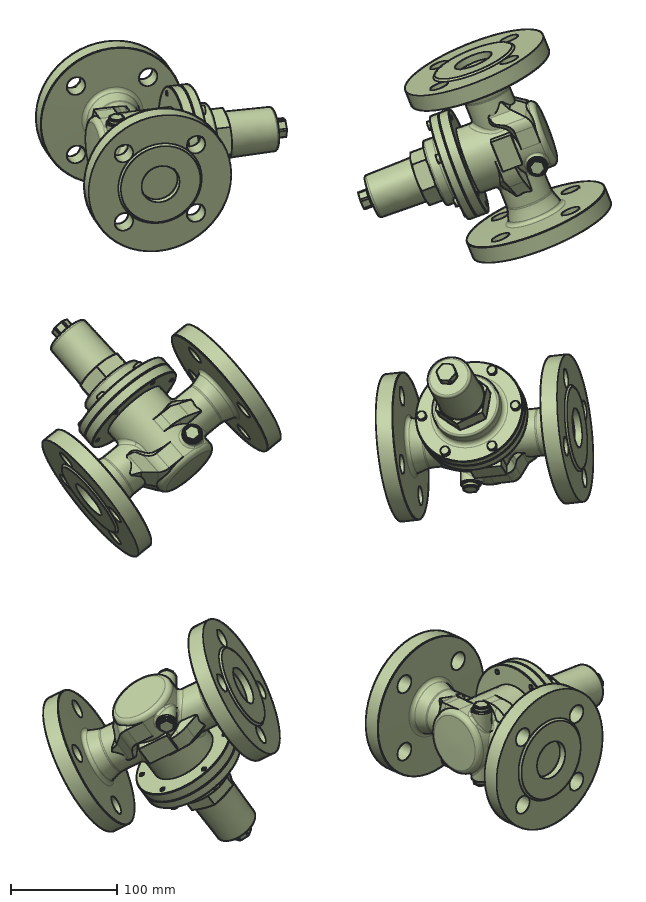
import cadquery as cq
import math


FACE_TO_FACE = 180.0
FLANGE_DIA = 140.0
FLANGE_THICKNESS = 16.0
FLANGE_EDGE = 0.5
FLANGE_BACK_SLOPE = 1.0
RAISED_FACE_HEIGHT = 2.0
RAISED_FACE_DIA = 82.0
RAISED_FACE_CHAMFER = 2.0
BOLT_CIRCLE_DIA = 100.0
BOLT_HOLE_DIA = 18.0
BOLT_HOLE_COUNT = 4
BORE_DIA = 37.2
BORE_DEPTH = 7.0
PIPE_DIA = 45.0
NECK_ROOT_RADIUS = 30.0
NECK_LARGE_RADIUS = 26.0
NECK_LARGE_X = 67.0
NECK_LARGE_SLOPE = 0.45
NECK_SMALL_X = 55.4
NECK_SMALL_RADIUS = 22.7
NECK_SMALL_SLOPE = 0.15
PIPE_X = 54.0

SEAM_ANGLE = 70.0

SELECT_MARGIN = 1.0

BODY_DIA = 65.0
BODY_END_Y = -39.8
BODY_END_DOME = 0.7
BODY_END_ROUND_WIDTH = 5.0
BODY_END_ROUND_HEIGHT = 6.0
BODY_PIPE_FILLET = 4.5

CROWN_CUT = 0.02
HUMP_TOP_Z = BODY_DIA / 2 - CROWN_CUT
INLET_DRAFT = 10.0
INLET_BOTTOM_Y = -33.0
INLET_UPPER_Y = -14.0
INLET_BEND_X = 18.3
INLET_BEND_END = (-30.0, -8.0)
INLET_PIPE_CORNERS = [(-38.0, 3.0), (-45.5, -11.0), (-38.0, -15.5)]
INLET_LOWER_BEND_START = (-28.13, -28.19)
INLET_SKIN_ARC_END = (28.2, 29.4)
INLET_SKIN_SLOPE = [(38.0, 23.0), (50.0, 19.5)]
SHOULDER_CORNERS = [(-34.0, -2.0), (-33.0, -6.0), (-25.0, -15.0), (0.0, -18.0)]
SHOULDER_DRAFT = 35.0
SHOULDER_BASE_Z = 15.0
OUTLET_DRAFT = 28.0
OUTLET_BASE_Z = 14.0
OUTLET_OUTLINE = [(0.0, 13.4), (22.0, 12.4), (41.0, 2.3), (41.0, -1.6), (19.5, -2.3), (0.0, -2.3)]
OUTLET_SKIN_ARC_START_X = 10.0
OUTLET_SKIN_ARC_END = (30.0, 28.1)
OUTLET_SKIN_SLOPE = [(43.0, 22.0)]

BONNET_FLANGE_DIA = 104.0
BODY_FLANGE_Y = 39.5
BONNET_JOINT_Y = 50.0
BONNET_FLANGE_TOP_Y = 59.0
JOINT_CHAMFER = 0.6
SCREW_COUNT = 6
SCREW_CIRCLE_DIA = 91.0
SCREW_DIA = 5.0
SCREW_HEAD_DIA = 8.5
SCREW_HEAD_HEIGHT = 3.7
SCREW_TIP_LENGTH = 0.6

BONNET_TOP_Y = 74.0
BONNET_FILLET = 4.7
BONNET_EDGE_ROUND = 2.0
NUT_ACROSS_FLATS = 46.0
NUT_ANGLE = 40.0
NUT_TOP_Y = 90.0
NUT_BEVEL_HEIGHT = 1.2
NUT_BEVEL_WIDTH = 3.7
HOUSING_BASE_DIA = 44.2
HOUSING_TOP_DIA = 42.4
HOUSING_TOP_Y = 137.5
HOUSING_FILLET = 2.5
SPINDLE_COLLAR_DIA = 15.0
SPINDLE_HEX_Y = 139.7
SPINDLE_TOP_Y = 147.98
SPINDLE_ACROSS_FLATS = 17.0
SPINDLE_HEX_TURN_DIA = 18.6
SPINDLE_HEX_ANGLE = 71.6

PORT_X = 19.0
PORT_Y = -22.2
PORT_DIA = 19.2
PORT_TOP_Z = 36.7
PORT_CHAMFER = 1.2
PORT_FILLET = 2.5
PLUG_COLLAR_DIA = 15.0
PLUG_COLLAR_TOP_Z = 39.7
PLUG_HEX_ACROSS_FLATS = 12.5
PLUG_TOP_Z = 41.3

PAD_X_MIN = -19.0
PAD_X_MAX = 12.0
PAD_WIDTH = 20.0
PAD_BOTTOM_Z = -36.0


def disc_y(dia, y_low, y_high):
    """Cylinder on the spindle axis."""
    return cq.Workplane("XZ", origin=(0, y_low, 0)).circle(dia / 2).extrude(y_low - y_high)


def hexagon(across_flats, angle):
    """Corner points of a hexagon with one corner at the given angle."""
    radius = across_flats / math.sqrt(3)
    angles = [math.radians(angle + 60 * i) for i in range(6)]
    return [(radius * math.cos(a), radius * math.sin(a)) for a in angles]


def hex_y(across_flats, angle, y_low, y_high):
    """Hexagonal prism on the spindle axis."""
    plane = cq.Workplane("XZ", origin=(0, y_low, 0))
    return plane.polyline(hexagon(across_flats, angle)).close().extrude(y_low - y_high)


def make_flow_end():
    """Left-hand flange, neck and pipe as one turned solid, with the bolt holes."""
    face_x = -FACE_TO_FACE / 2
    front_x = face_x + RAISED_FACE_HEIGHT
    back_x = front_x + FLANGE_THICKNESS
    flange_r = FLANGE_DIA / 2
    raised_r = RAISED_FACE_DIA / 2
    back_taper = (flange_r - NECK_ROOT_RADIUS) * math.tan(math.radians(FLANGE_BACK_SLOPE))
    neck_x = back_x + FLANGE_EDGE + back_taper
    neck_tangents = [(1, -NECK_LARGE_SLOPE), (1, -NECK_SMALL_SLOPE)]
    profile = (
        cq.Workplane("XY")
        .moveTo(face_x, 0)
        .lineTo(face_x, raised_r - RAISED_FACE_CHAMFER)
        .lineTo(front_x, raised_r)
        .lineTo(front_x, flange_r)
        .lineTo(back_x, flange_r)
        .lineTo(back_x + FLANGE_EDGE, flange_r - FLANGE_EDGE)
        .lineTo(neck_x, NECK_ROOT_RADIUS)
        .tangentArcPoint((-NECK_LARGE_X, NECK_LARGE_RADIUS), relative=False)
        .spline([(-NECK_SMALL_X, NECK_SMALL_RADIUS)], tangents=neck_tangents, includeCurrent=True)
        .lineTo(-PIPE_X, PIPE_DIA / 2)
        .lineTo(0, PIPE_DIA / 2)
        .lineTo(0, 0)
        .close()
    )
    end = profile.revolve(360, (0, 0, 0), (1, 0, 0)).rotate((0, 0, 0), (1, 0, 0), SEAM_ANGLE)
    holes = (
        cq.Workplane("YZ", origin=(face_x, 0, 0))
        .polarArray(BOLT_CIRCLE_DIA / 2, 180 / BOLT_HOLE_COUNT, 360, BOLT_HOLE_COUNT)
        .circle(BOLT_HOLE_DIA / 2)
        .extrude(back_x + 2 * FLANGE_EDGE - face_x)
    )
    return end.cut(holes)


def make_body_barrel():
    """Body cylinder with a rounded, slightly domed lower end."""
    body_r = BODY_DIA / 2
    rim_y = BODY_END_Y + BODY_END_DOME
    flat_r = body_r - BODY_END_ROUND_WIDTH
    profile = (
        cq.Workplane("XY")
        .moveTo(0, BODY_FLANGE_Y)
        .lineTo(body_r, BODY_FLANGE_Y)
        .lineTo(body_r, rim_y + BODY_END_ROUND_HEIGHT)
        .tangentArcPoint((flat_r, rim_y), relative=False)
        .lineTo(0, BODY_END_Y)
        .close()
    )
    return profile.revolve(360, (0, 0, 0), (0, 1, 0)).rotate((0, 0, 0), (0, 1, 0), SEAM_ANGLE)


def hump_skin(sign, arc_start_x, arc_end, slope_ends):
    """Region between the upper and lower skins of a hump, bounded in the XZ plane."""
    skin = (
        cq.Workplane("XZ", origin=(0, BODY_DIA, 0))
        .moveTo(0, HUMP_TOP_Z)
        .lineTo(sign * arc_start_x, HUMP_TOP_Z)
        .tangentArcPoint((sign * arc_end[0], arc_end[1]), relative=False)
    )
    for x, z in slope_ends:
        skin = skin.lineTo(sign * x, z)
    return skin.lineTo(sign * slope_ends[-1][0], 0).lineTo(0, 0).close().extrude(2 * BODY_DIA)


def inlet_bend():
    """Start of an inlet outline: its straight upper edge and the bend toward the pipe."""
    return (
        cq.Workplane("XY", origin=(0, 0, HUMP_TOP_Z))
        .moveTo(0, INLET_UPPER_Y)
        .lineTo(-INLET_BEND_X, INLET_UPPER_Y)
        .tangentArcPoint(INLET_BEND_END, relative=False)
    )


def make_inlet_hump():
    """S-shaped passage from the left pipe down to the closed body end, with a sloped upper shoulder."""
    channel = inlet_bend()
    for corner in INLET_PIPE_CORNERS:
        channel = channel.lineTo(*corner)
    channel = (
        channel.lineTo(*INLET_LOWER_BEND_START)
        .tangentArcPoint((-INLET_BEND_X, INLET_BOTTOM_Y), relative=False)
        .lineTo(0, INLET_BOTTOM_Y)
        .close()
        .extrude(-HUMP_TOP_Z, taper=-INLET_DRAFT)
    )
    shoulder = inlet_bend()
    for corner in SHOULDER_CORNERS:
        shoulder = shoulder.lineTo(*corner)
    shoulder = shoulder.close().extrude(SHOULDER_BASE_Z - HUMP_TOP_Z, taper=-SHOULDER_DRAFT)
    skin = hump_skin(-1, INLET_BEND_X, INLET_SKIN_ARC_END, INLET_SKIN_SLOPE)
    return channel.union(shoulder).intersect(skin)


def make_outlet_hump():
    """Straight drafted passage from the body up to the right pipe."""
    block = (
        cq.Workplane("XY", origin=(0, 0, HUMP_TOP_Z))
        .polyline(OUTLET_OUTLINE)
        .close()
        .extrude(OUTLET_BASE_Z - HUMP_TOP_Z, taper=-OUTLET_DRAFT)
    )
    skin = hump_skin(1, OUTLET_SKIN_ARC_START_X, OUTLET_SKIN_ARC_END, OUTLET_SKIN_SLOPE)
    return block.intersect(skin)


def make_gauge_port():
    """Boss and hexagon plug on the upper side."""
    boss = cq.Workplane("XY").center(PORT_X, PORT_Y).circle(PORT_DIA / 2).extrude(PORT_TOP_Z)
    boss = boss.faces(">Z").chamfer(PORT_CHAMFER)
    collar = (
        cq.Workplane("XY", origin=(PORT_X, PORT_Y, PORT_TOP_Z))
        .circle(PLUG_COLLAR_DIA / 2)
        .extrude(PLUG_COLLAR_TOP_Z - PORT_TOP_Z)
    )
    plug = (
        cq.Workplane("XY", origin=(PORT_X, PORT_Y, PORT_TOP_Z))
        .polyline(hexagon(PLUG_HEX_ACROSS_FLATS, 0))
        .close()
        .extrude(PLUG_TOP_Z - PORT_TOP_Z)
    )
    return boss.union(collar).union(plug)


def make_bonnet():
    """Flange pair and bonnet with its root fillet."""
    lower = disc_y(BONNET_FLANGE_DIA, BODY_FLANGE_Y, BONNET_JOINT_Y)
    lower = lower.faces("<Y or >Y").chamfer(JOINT_CHAMFER)
    upper = disc_y(BONNET_FLANGE_DIA, BONNET_JOINT_Y, BONNET_FLANGE_TOP_Y)
    upper = upper.faces("<Y or >Y").chamfer(JOINT_CHAMFER)
    bonnet_r = BODY_DIA / 2
    profile = (
        cq.Workplane("XY")
        .moveTo(0, BONNET_FLANGE_TOP_Y)
        .lineTo(bonnet_r + BONNET_FILLET, BONNET_FLANGE_TOP_Y)
        .radiusArc((bonnet_r, BONNET_FLANGE_TOP_Y + BONNET_FILLET), BONNET_FILLET)
        .lineTo(bonnet_r, BONNET_TOP_Y - BONNET_EDGE_ROUND)
        .tangentArcPoint((bonnet_r - BONNET_EDGE_ROUND, BONNET_TOP_Y), relative=False)
        .lineTo(0, BONNET_TOP_Y)
        .close()
    )
    return lower.union(upper).union(profile.revolve(360, (0, 0, 0), (0, 1, 0)))


def make_screws():
    """Flange screws: round heads above and tips just below the flange pair."""
    circle_r = SCREW_CIRCLE_DIA / 2
    tip_y = BODY_FLANGE_Y - SCREW_TIP_LENGTH
    heads = (
        cq.Workplane("XZ", origin=(0, BONNET_FLANGE_TOP_Y, 0))
        .polarArray(circle_r, 0, 360, SCREW_COUNT)
        .circle(SCREW_HEAD_DIA / 2)
        .extrude(-SCREW_HEAD_HEIGHT)
    )
    shanks = (
        cq.Workplane("XZ", origin=(0, tip_y, 0))
        .polarArray(circle_r, 0, 360, SCREW_COUNT)
        .circle(SCREW_DIA / 2)
        .extrude(tip_y - BONNET_FLANGE_TOP_Y)
        .faces("<Y")
        .chamfer(SCREW_TIP_LENGTH)
    )
    return heads.union(shanks)


def make_spring_housing():
    """Hexagon nut, tapered housing and adjusting screw."""
    corner_dia = 2 * NUT_ACROSS_FLATS / math.sqrt(3)
    nut = hex_y(NUT_ACROSS_FLATS, NUT_ANGLE, BONNET_TOP_Y, NUT_TOP_Y)
    bevel_r = corner_dia / 2 - NUT_BEVEL_WIDTH
    nut_turned = (
        cq.Workplane("XY")
        .moveTo(0, BONNET_TOP_Y)
        .lineTo(bevel_r, BONNET_TOP_Y)
        .lineTo(corner_dia / 2, BONNET_TOP_Y + NUT_BEVEL_HEIGHT)
        .lineTo(corner_dia / 2, NUT_TOP_Y - NUT_BEVEL_HEIGHT)
        .lineTo(bevel_r, NUT_TOP_Y)
        .lineTo(0, NUT_TOP_Y)
        .close()
        .revolve(360, (0, 0, 0), (0, 1, 0))
    )
    nut = nut.intersect(nut_turned)
    top_r = HOUSING_TOP_DIA / 2
    housing = (
        cq.Workplane("XY")
        .moveTo(0, NUT_TOP_Y)
        .lineTo(HOUSING_BASE_DIA / 2, NUT_TOP_Y)
        .lineTo(top_r, HOUSING_TOP_Y - HOUSING_FILLET)
        .tangentArcPoint((top_r - HOUSING_FILLET, HOUSING_TOP_Y), relative=False)
        .lineTo(0, HOUSING_TOP_Y)
        .close()
        .revolve(360, (0, 0, 0), (0, 1, 0))
    )
    collar = disc_y(SPINDLE_COLLAR_DIA, HOUSING_TOP_Y, SPINDLE_HEX_Y)
    head = hex_y(SPINDLE_ACROSS_FLATS, SPINDLE_HEX_ANGLE, SPINDLE_HEX_Y, SPINDLE_TOP_Y)
    head = head.intersect(disc_y(SPINDLE_HEX_TURN_DIA, SPINDLE_HEX_Y, SPINDLE_TOP_Y))
    return nut.union(housing).union(collar).union(head)


def make_pad():
    """Flat pad on the lower side of the body."""
    return (
        cq.Workplane("XY", origin=((PAD_X_MIN + PAD_X_MAX) / 2, 0, PAD_BOTTOM_Z))
        .rect(PAD_X_MAX - PAD_X_MIN, PAD_WIDTH)
        .extrude(-PAD_BOTTOM_Z)
    )


def fillet_inside(part, near, far, radius):
    """Fillet the edges that lie wholly inside the box between two corners."""
    return part.edges(cq.selectors.BoxSelector(near, far, boundingbox=True)).fillet(radius)


flow_end = make_flow_end()
valve = make_body_barrel().union(flow_end).union(flow_end.mirror("YZ"))
crossing_x = BODY_DIA / 2 + SELECT_MARGIN
crossing_r = PIPE_DIA / 2 + SELECT_MARGIN
crossing_far = (crossing_x, crossing_r, crossing_r)
crossing_near = tuple(-c for c in crossing_far)
valve = fillet_inside(valve, crossing_near, crossing_far, BODY_PIPE_FILLET)

gauge_port = make_gauge_port()
valve = valve.union(gauge_port).union(gauge_port.mirror("XY"))
port_reach = PORT_DIA / 2 + SELECT_MARGIN
port_near = (PORT_X - port_reach, PORT_Y - port_reach, -HUMP_TOP_Z)
port_far = (PORT_X + port_reach, PORT_Y + port_reach, HUMP_TOP_Z)
valve = fillet_inside(valve, port_near, port_far, PORT_FILLET)

for hump in (make_inlet_hump(), make_outlet_hump()):
    valve = valve.union(hump.union(hump.mirror("XY")))

valve = valve.union(make_pad())
valve = valve.union(make_bonnet()).union(make_screws()).union(make_spring_housing())

for side in (-1, 1):
    bore = cq.Workplane("YZ", origin=(side * FACE_TO_FACE / 2, 0, 0)).circle(BORE_DIA / 2)
    valve = valve.cut(bore.extrude(-side * BORE_DEPTH))

result = valve